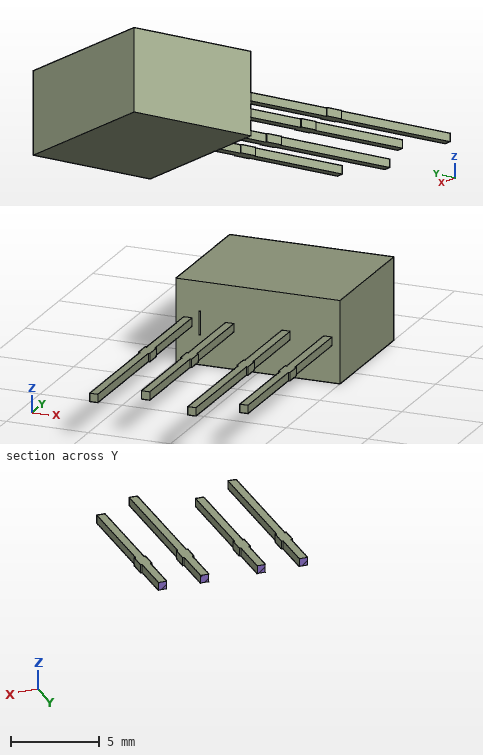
import cadquery as cq

overall_length = 22.0
body_width = 10.0
body_height = 5.0
body_length = 8.0

pin_size = 0.5
long_pin_length = overall_length - body_length
short_pin_length = 12.5
inner_pin_offset = 1.72
outer_pin_offset = 4.27
collar_width = 0.68
collar_length = 1.0
collar_start = 5.5

groove_x = -3.55
groove_width = 0.1
groove_height = 1.4
groove_depth = 0.1

pins = [
    (-outer_pin_offset, long_pin_length),
    (-inner_pin_offset, short_pin_length),
    (inner_pin_offset, long_pin_length),
    (outer_pin_offset, short_pin_length),
]


def box_along_y(width, length, height):
    """Box centred on X and Z that runs from Y = 0 to Y = length."""
    return cq.Workplane("XY").box(width, length, height, centered=(True, False, True))


def make_pin(length):
    """Pin that reaches from the pin face to Y = -length."""
    shaft = box_along_y(pin_size, length, pin_size).translate((0, -length, 0))
    collar = box_along_y(collar_width, collar_length, pin_size)
    return shaft.union(collar.translate((0, -collar_start - collar_length, 0)))


def make_groove_cutter():
    """Upright wedge whose tip lies groove_depth behind the pin face."""
    half_width = groove_width / 2
    return (
        cq.Workplane("XY")
        .polyline([(-half_width, 0), (half_width, 0), (0, groove_depth)])
        .close()
        .extrude(groove_height / 2, both=True)
    )


result = box_along_y(body_width, body_length, body_height)
result = result.cut(make_groove_cutter().translate((groove_x, 0, 0)))

for pin_x, pin_length in pins:
    result = result.union(make_pin(pin_length).translate((pin_x, 0, 0)))